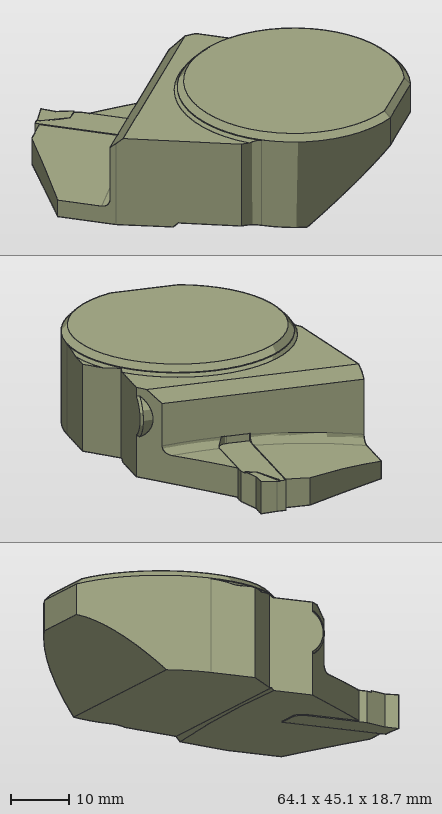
import cadquery as cq
import math


disc_radius = 20.0
disc_top = 18.65
disc_chamfer = 1.1
disc_underside = 17.45
neck_radius = 20.5
flat_x = 19.0
housing_top = 16.85
housing_base = 0.9
front_y = -25.05
back_y = 14.8
slope_start_x = -24.5
flank_end_x = -3.3
flank_end_y = -21.2
flank_blend = (-1.8, -20.3)
boss_left_x = -8.4
boss_foot_x = -13.6
end_cut_x = 7.7

wall_x = -25.6
wall_chamfer_run = 2.3
wall_chamfer_drop = 2.0
blade_end_x = -44.1
blade_corner_y = -9.05
blade_front_x = -34.9
rear_slope_x = -21.7
rear_slope_angle = 41.2
blade_top = 5.95
blade_top_radius = 134.6
crest_y = 1.9
blade_underside_radius = 628.2
blade_root_fillet = 1.5
step_x = -14.0

insert_front_y = -4.5
insert_back_y = 1.55
insert_base = 0.4
insert_tip_x = -45.1
insert_end_x = -44.9
insert_corner_radius = 1.85
insert_reach = 0.4
insert_stop_x = wall_x + insert_reach
shoulder_x = -38.4
nose_x = -42.5
nose_y = 0.1
relief_y = -2.8
tip_height = 6.35
facet_fall_x = 0.05
facet_fall_y = 0.16
facet_edge = [(-44.3, -3.4), (-39.6, -0.9), (-39.5, 1.15)]

stub_radius = 4.55
stub_x = -19.7
stub_z = 11.65
stub_chamfer = 0.45
stub_length = 5.1

margin = 12.8


def block(x0, x1, y0, y1, z0, z1):
    return cq.Workplane("XY").box(x1 - x0, y1 - y0, z1 - z0, centered=False).translate((x0, y0, z0))


def crest_cylinder(radius, crest_z):
    """Cylinder along X whose crest lies at crest_y, crest_z."""
    length = wall_x - insert_tip_x + 2 * margin + abs(wall_x - step_x)
    cylinder = cq.Workplane("YZ").circle(radius).extrude(length)
    return cylinder.translate((insert_tip_x - margin, crest_y, crest_z - radius))


def housing_outline():
    """Plan of the housing, its square rear boss and the blade."""
    rear_slope_run = (back_y - insert_back_y) / math.tan(math.radians(rear_slope_angle))
    return (
        cq.Workplane("XY")
        .moveTo(blade_front_x, front_y)
        .lineTo(slope_start_x, front_y)
        .lineTo(flank_end_x, flank_end_y)
        .threePointArc(flank_blend, (0, -disc_radius))
        .threePointArc((disc_radius, 0), (0, disc_radius))
        .lineTo(boss_left_x, disc_radius)
        .lineTo(boss_foot_x, back_y)
        .lineTo(rear_slope_x, back_y)
        .lineTo(rear_slope_x - rear_slope_run, insert_back_y)
        .lineTo(rear_slope_x - rear_slope_run, insert_front_y)
        .lineTo(blade_end_x, insert_front_y)
        .lineTo(blade_end_x, blade_corner_y)
        .close()
    )


def blade_clearance():
    """Space above the blade, rounded where it meets the wall."""
    space = block(insert_tip_x - margin, wall_x, front_y - margin, disc_radius, 0, disc_top)
    space = space.cut(crest_cylinder(blade_top_radius, blade_top))
    root = cq.selectors.NearestToPointSelector((wall_x, crest_y, blade_top))
    return space.edges(root).fillet(blade_root_fillet)


def wall_chamfer():
    return (
        cq.Workplane("XZ")
        .moveTo(wall_x, housing_top - wall_chamfer_drop)
        .lineTo(wall_x + wall_chamfer_run, housing_top)
        .lineTo(wall_x, housing_top)
        .close()
        .extrude(disc_radius - front_y)
        .translate((0, disc_radius, 0))
    )


def underside_cut():
    """Space under the raised base, the 45 degree step and the end cut."""
    end_run = disc_radius - end_cut_x
    return (
        cq.Workplane("XZ")
        .moveTo(step_x - housing_base, 0)
        .lineTo(step_x, housing_base)
        .lineTo(end_cut_x, housing_base)
        .lineTo(disc_radius, housing_base + end_run)
        .lineTo(disc_radius, 0)
        .close()
        .extrude(disc_radius - front_y)
        .translate((0, disc_radius, 0))
    )


def underside_arch():
    """Shallow arch under the blade; it reaches Z = 0 at the front face."""
    rise = blade_underside_radius - math.sqrt(blade_underside_radius**2 - (front_y - crest_y) ** 2)
    slab = block(blade_end_x, step_x, front_y, disc_radius, 0, 2 * rise)
    return slab.intersect(crest_cylinder(blade_underside_radius, rise))


def top_disc():
    disc = cq.Workplane("XY").workplane(offset=disc_underside).circle(disc_radius)
    disc = disc.extrude(disc_top - disc_underside)
    return disc.faces(">Z").edges().chamfer(disc_chamfer)


def flat_cut():
    """Cut for the +X flat, with the disc chamfer carried along its top edge."""
    return (
        cq.Workplane("XZ")
        .moveTo(flat_x, 0)
        .lineTo(flat_x, disc_top - disc_chamfer)
        .lineTo(flat_x - disc_chamfer, disc_top)
        .lineTo(disc_radius, disc_top)
        .lineTo(disc_radius, 0)
        .close()
        .extrude(disc_radius, both=True)
    )


def neck():
    """Flared foot of the disc, trimmed to the housing outline."""
    height = disc_underside - housing_top
    cone = (
        cq.Workplane("XY").workplane(offset=housing_top).circle(neck_radius)
        .workplane(offset=height).circle(disc_radius).loft()
    )
    return cone.intersect(housing_outline().extrude(disc_top))


def rear_stub():
    stub = cq.Workplane("XZ").circle(stub_radius).extrude(stub_length)
    return stub.faces(">Y").edges().chamfer(stub_chamfer).translate((stub_x, back_y, stub_z))


def insert_plan():
    return (
        cq.Workplane("XY")
        .moveTo(insert_tip_x, nose_y)
        .lineTo(insert_end_x, relief_y)
        .lineTo(insert_end_x, insert_front_y)
        .lineTo(insert_stop_x, insert_front_y)
        .lineTo(insert_stop_x, insert_back_y - insert_corner_radius)
        .radiusArc((insert_stop_x - insert_corner_radius, insert_back_y), -insert_corner_radius)
        .lineTo(shoulder_x, insert_back_y)
        .lineTo(nose_x, nose_y)
        .close()
    )


def insert_prism(top):
    return insert_plan().extrude(top).intersect(
        block(insert_tip_x, insert_stop_x, insert_front_y, insert_back_y, insert_base, top)
    )


def facet_region():
    """Tall prism over the cutting facet, open towards the tip and the back."""
    return (
        cq.Workplane("XY")
        .moveTo(insert_tip_x, insert_back_y)
        .lineTo(insert_tip_x, facet_edge[0][1])
        .polyline(facet_edge, includeCurrent=True)
        .lineTo(facet_edge[-1][0], insert_back_y)
        .close()
        .extrude(disc_top)
    )


def below_facet():
    """Half space under the tilted cutting facet."""
    facet = cq.Plane(
        origin=(insert_tip_x, nose_y, tip_height),
        xDir=(1, 0, -facet_fall_x),
        normal=(facet_fall_x, -facet_fall_y, 1),
    )
    return cq.Workplane(facet).rect(2 * margin, 2 * margin).extrude(-margin)


def make_insert():
    body = insert_prism(blade_top).cut(facet_region())
    tip = insert_prism(disc_top).intersect(facet_region()).intersect(below_facet())
    return body.union(tip)


def make_housing():
    body = housing_outline().extrude(housing_top)
    body = body.cut(underside_cut())
    body = body.cut(blade_clearance())
    body = body.cut(wall_chamfer())
    body = body.cut(underside_arch())
    body = body.union(rear_stub()).union(neck()).union(top_disc())
    body = body.cut(flat_cut())
    return body.cut(insert_plan().extrude(blade_top + blade_root_fillet))


housing = make_housing()
insert = make_insert()

result = cq.Compound.makeCompound([housing.val(), insert.val()])